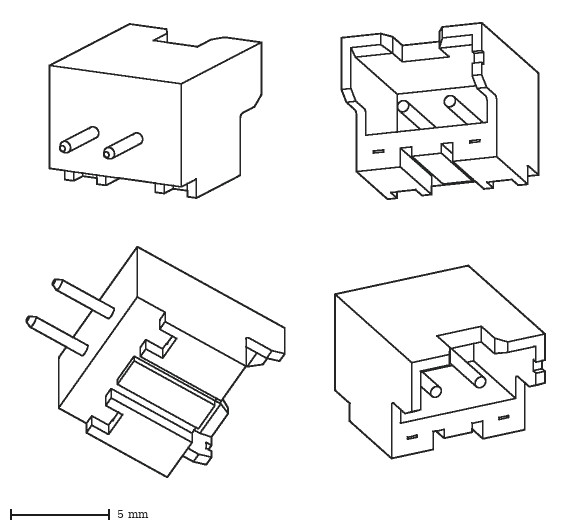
import cadquery as cq
import math


overall_length = 12.2
width = 7.5
length = 8.8
total_height = 6.4
leg_drop = 1.0
height = total_height - leg_drop

hood_length = 2.32
hood_height = 3.2
hood_fillet = 0.25
bevel_length = 0.77
bevel_angle = 30
bevel_height = bevel_length * math.tan(math.radians(bevel_angle))
mating_face_y = length - hood_length
hood_underside_z = height - hood_height

rear_step = 1.66
leg_length = mating_face_y - rear_step
leg_width = 2.35
leg_centre_x = (width - leg_width) / 2
tab_width = 1.59
tab_drop = 0.5
side_wall = 0.51
recess_width = leg_width - 2 * side_wall
recess_depth = 1.0
vent_width = 0.55
vent_height = 0.11

roof = 0.88
floor = roof
cavity_width = width - 2 * side_wall
lead_in_length = 0.7
lead_in_height = 0.29

pitch = 2.5
key_width = pitch
key_depth = 2.21
key_flare = 0.4
key_flare_length = lead_in_length

notch_depth = 0.33
notch_height = 0.62
notch_top_gap = 1.48

pin_count = 2
pin_diameter = 0.6
pin_tip_diameter = 0.3
pin_taper_length = 0.32
pin_projection = overall_length - length
pin_z = hood_underside_z


def block(size_x, size_y, size_z, centre_x, min_y, min_z):
    """Box centred on centre_x, growing toward +Y and +Z from min_y and min_z."""
    return (
        cq.Workplane("XY")
        .box(size_x, size_y, size_z, centered=(True, False, False))
        .translate((centre_x, min_y, min_z))
    )


def housing_block():
    """Main block with the beveled hood, before any legs or cuts."""
    return (
        cq.Workplane("YZ")
        .moveTo(0, 0)
        .lineTo(mating_face_y, 0)
        .lineTo(mating_face_y, hood_underside_z - hood_fillet)
        .radiusArc((mating_face_y + hood_fillet, hood_underside_z), hood_fillet)
        .lineTo(length - bevel_length, hood_underside_z)
        .lineTo(length, hood_underside_z + bevel_height)
        .lineTo(length, height)
        .lineTo(0, height)
        .close()
        .extrude(width / 2, both=True)
    )


def leg(centre_x):
    """Leg with a recess in its rear and a shallow vent running through to the mating face."""
    body = block(leg_width, leg_length, leg_drop, centre_x, rear_step, -leg_drop)
    recess = block(recess_width, recess_depth, leg_drop, centre_x, rear_step, -leg_drop)
    vent = block(vent_width, leg_length, vent_height, centre_x, rear_step, -vent_height)
    return body.cut(recess).cut(vent)


def cavity():
    """Mating cavity open at the +Y end, with a sloped lead-in under the roof."""
    ceiling = height - roof
    return (
        cq.Workplane("YZ")
        .moveTo(rear_step, floor)
        .lineTo(length, floor)
        .lineTo(length, ceiling + lead_in_height)
        .lineTo(length - lead_in_length, ceiling)
        .lineTo(rear_step, ceiling)
        .close()
        .extrude(cavity_width / 2, both=True)
    )


def key_slot():
    """Slot with a flared mouth, cut down through the roof into the cavity."""
    half_key = key_width / 2
    half_mouth = half_key + key_flare
    key_end_y = length - key_depth
    flare_start_y = length - key_flare_length
    return (
        cq.Workplane("XY", origin=(0, 0, height))
        .moveTo(-half_key, key_end_y)
        .lineTo(half_key, key_end_y)
        .lineTo(half_key, flare_start_y)
        .lineTo(half_mouth, length)
        .lineTo(-half_mouth, length)
        .lineTo(-half_key, flare_start_y)
        .close()
        .extrude(-roof)
    )


def marking_notch():
    """Notch through the -X wall at the mating end."""
    notch_z = height - notch_top_gap - notch_height
    wall_centre_x = (side_wall - width) / 2
    return block(side_wall, notch_depth, notch_height, wall_centre_x, length - notch_depth, notch_z)


def pin(x):
    """Round pin with a tapered rear tip, its front end flush with the mating face."""
    tip_y = -pin_projection
    return (
        cq.Workplane("XY")
        .moveTo(0, tip_y)
        .lineTo(pin_tip_diameter / 2, tip_y)
        .lineTo(pin_diameter / 2, tip_y + pin_taper_length)
        .lineTo(pin_diameter / 2, mating_face_y)
        .lineTo(0, mating_face_y)
        .close()
        .revolve(360, (0, 0, 0), (0, 1, 0))
        .translate((x, 0, pin_z))
    )


pins = [pin((i - (pin_count - 1) / 2) * pitch) for i in range(pin_count)]

housing = housing_block()
for side in (-1, 1):
    housing = housing.union(leg(side * leg_centre_x))
housing = housing.union(block(tab_width, leg_length, tab_drop, 0, rear_step, -tab_drop))
housing = housing.cut(cavity()).cut(key_slot()).cut(marking_notch())
for contact in pins:
    housing = housing.cut(contact)

result = cq.Compound.makeCompound([housing.solids().val(), *[contact.val() for contact in pins]])